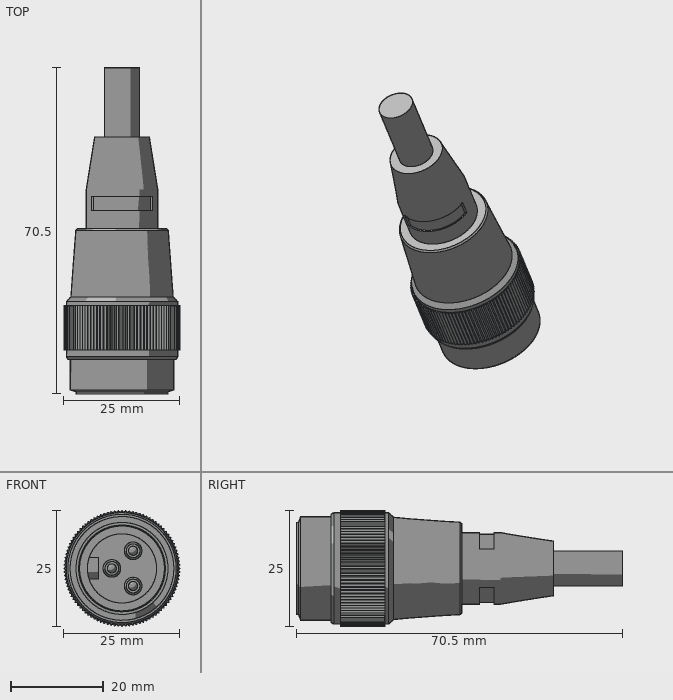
import cadquery as cq
import math

total_length = 70.5

cable_radius = 3.8
boot_tip_radius = 5.9
boot_tip_y = 55.55
boot_radius = 7.75
boot_shoulder_y = 44.1

recess_back_y = 42.65
recess_front_y = 39.6
recess_floor_radius = 7.4
recess_half_height = 4.15

sleeve_back_y = 35.75
sleeve_back_radius = 10.0
sleeve_chamfer = 0.35
sleeve_front_y = 21.0
sleeve_front_radius = 11.1

ring_radius = 12.05
ring_back_chamfer = 1.05
ring_front_y = 7.5
ring_front_chamfer_length = 0.6
ring_front_chamfer_depth = 0.35
knurl_back_y = 19.1
knurl_front_y = 9.5
knurl_tip_radius = 25.0 / 2
knurl_root_radius = 12.1
knurl_teeth = 100

shell_radius = 11.2
shell_chamfer_y = 0.9
lip_radius = 9.95
lip_length = 0.5

mouth_radius = 9.4
mouth_inner_radius = 9.2
mouth_depth = 2.7
cavity_radius = 7.5
floor_depth = 9.4

pair_pin_x = 2.4
pair_pin_z = 3.8
single_pin_x = -2.2
pin_radius = 1.0
pin_tip_depth = 2.1
collar_base_radius = 1.9
collar_front_radius = 1.5
collar_height = 1.55
pin_root = 0.7

key_inner_x = -5.1
key_half_height = 2.3
key_crest_depth = 2.2


def cylinder_along_y(radius, start_y, end_y):
    base = cq.Workplane("XZ", origin=(0, start_y, 0))
    return base.circle(radius).extrude(start_y - end_y)


def revolve_about_y(profile):
    return cq.Workplane("XY").polyline(profile).close().revolve(360, (0, 0, 0), (0, 1, 0))


def make_body():
    outline = [
        (0, 0),
        (lip_radius, 0),
        (lip_radius, lip_length),
        (shell_radius, shell_chamfer_y),
        (shell_radius, ring_front_y),
        (ring_radius - ring_front_chamfer_depth, ring_front_y),
        (ring_radius, ring_front_y + ring_front_chamfer_length),
        (ring_radius, sleeve_front_y - ring_back_chamfer),
        (sleeve_front_radius, sleeve_front_y),
        (sleeve_back_radius, sleeve_back_y - sleeve_chamfer),
        (sleeve_back_radius - sleeve_chamfer, sleeve_back_y),
        (boot_radius, sleeve_back_y),
        (boot_radius, boot_shoulder_y),
        (boot_tip_radius, boot_tip_y),
        (cable_radius, boot_tip_y),
        (cable_radius, total_length),
        (0, total_length),
    ]
    return revolve_about_y(outline)


def make_knurl():
    half_pitch = math.pi / knurl_teeth
    points = []
    for index in range(2 * knurl_teeth):
        radius = knurl_root_radius if index % 2 else knurl_tip_radius
        angle = index * half_pitch
        points.append((radius * math.cos(angle), radius * math.sin(angle)))
    base = cq.Workplane("XZ", origin=(0, knurl_front_y, 0))
    return base.polyline(points).close().extrude(knurl_front_y - knurl_back_y)


def make_recesses():
    width = recess_back_y - recess_front_y
    middle_y = (recess_back_y + recess_front_y) / 2
    core = cylinder_along_y(recess_floor_radius, recess_front_y, recess_back_y)
    width_across = 2 * boot_radius
    tool = cq.Workplane("XY", origin=(0, middle_y, 0)).box(width_across, width, width_across)
    belt = cq.Workplane("XY", origin=(0, middle_y, 0)).box(width_across, width, 2 * recess_half_height)
    return tool.cut(core).cut(belt)


def make_socket():
    return revolve_about_y([
        (0, 0),
        (mouth_radius, 0),
        (mouth_inner_radius, mouth_depth),
        (cavity_radius, mouth_depth),
        (cavity_radius, floor_depth),
        (0, floor_depth),
    ])


def make_pin(x, z):
    tip_center_y = pin_tip_depth + pin_radius
    tip_mid = pin_radius * math.sqrt(0.5)
    collar_y = floor_depth - collar_height
    pin = (
        cq.Workplane("XY")
        .moveTo(0, pin_tip_depth)
        .threePointArc((tip_mid, tip_center_y - tip_mid), (pin_radius, tip_center_y))
        .lineTo(pin_radius, collar_y)
        .lineTo(collar_front_radius, collar_y)
        .lineTo(collar_base_radius, floor_depth)
        .lineTo(collar_base_radius, floor_depth + pin_root)
        .lineTo(0, floor_depth + pin_root)
        .close()
        .revolve(360, (0, 0, 0), (0, 1, 0))
    )
    return pin.translate((x, 0, z))


def make_key():
    shoulder_y = key_crest_depth + key_half_height
    bar = (
        cq.Workplane("YZ", origin=(-cavity_radius, 0, 0))
        .moveTo(floor_depth, -key_half_height)
        .lineTo(shoulder_y, -key_half_height)
        .threePointArc((key_crest_depth, 0), (shoulder_y, key_half_height))
        .lineTo(floor_depth, key_half_height)
        .close()
        .extrude(cavity_radius + key_inner_x)
    )
    return bar.intersect(cylinder_along_y(cavity_radius, 0, floor_depth))


result = make_body().union(make_knurl()).cut(make_recesses()).cut(make_socket())
result = result.union(make_key())
pin_positions = [(pair_pin_x, pair_pin_z), (pair_pin_x, -pair_pin_z), (single_pin_x, 0)]
for pin_x, pin_z in pin_positions:
    result = result.union(make_pin(pin_x, pin_z))